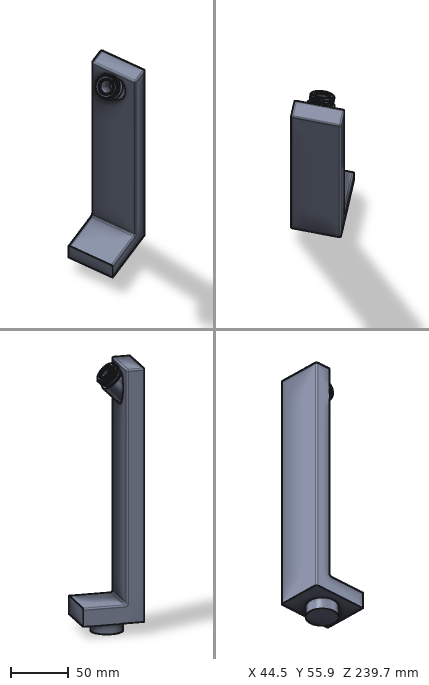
import cadquery as cq
import math

width = 44.45
foot_depth = 55.88
column_height = 228.6
column_depth = 16.7
foot_height = column_depth
edge_radius = 1.65
inner_corner_radius = edge_radius

boss_diameter = 28.58
boss_height = 11.13

spout_angle = 45
spout_axis_drop = 19.4
spout_diameter = 24.13
spout_length = 8.9
thread_diameter = 21.34
neck_length = 2.2
thread_root_diameter = 18.9
thread_pitch = 2.25
thread_count = 3
bore_diameter = 11.5
counterbore_diameter = 14.4
counterbore_depth = 1.5
bore_depth = 24.0

spout_end = spout_length + neck_length + thread_count * thread_pitch
back_y = foot_depth / 2
column_front_y = back_y - column_depth
front_y = -foot_depth / 2


def make_body():
    """L-shaped block with rounded upper edges, inner corner and column edges."""
    outline = [
        (front_y, 0),
        (back_y, 0),
        (back_y, column_height),
        (column_front_y, column_height),
        (column_front_y, foot_height),
        (front_y, foot_height),
    ]
    body = cq.Workplane("YZ").polyline(outline).close().extrude(width / 2, both=True)
    inner_corner = cq.selectors.NearestToPointSelector((0, column_front_y, foot_height))
    body = body.edges(inner_corner).fillet(inner_corner_radius)

    foot_side_middle_y = (front_y + column_front_y) / 2
    column_middle_z = (column_height + foot_height) / 2
    rounded = body.faces(">Z").edges()
    for side in (-1, 1):
        x = side * width / 2
        for y, z in (
            (back_y, column_height / 2),
            (column_front_y, column_middle_z),
            (foot_side_middle_y, foot_height),
        ):
            rounded = rounded.add(body.edges(cq.selectors.NearestToPointSelector((x, y, z))))
    return rounded.fillet(edge_radius)


def make_boss():
    """Round boss centred under the foot."""
    return cq.Workplane("XY").circle(boss_diameter / 2).extrude(-boss_height)


def turn_about_spout_axis(profile):
    """Revolve (radius, distance) points; distance runs outward along the axis from the front face."""
    angle = math.radians(spout_angle)
    half_plane = cq.Plane(
        origin=(0, column_front_y, column_height - spout_axis_drop),
        xDir=(1, 0, 0),
        normal=(0, -math.sin(angle), -math.cos(angle)),
    )
    return cq.Workplane(half_plane).polyline(profile).close().revolve(360, (0, 0), (0, 1))


def make_spout():
    """Plain barrel and ringed neck, turned about the spout axis."""
    buried_length = spout_diameter
    barrel_radius = spout_diameter / 2
    crest_radius = thread_diameter / 2
    root_radius = thread_root_diameter / 2
    thread_start = spout_length + neck_length

    profile = [
        (0, -buried_length),
        (barrel_radius, -buried_length),
        (barrel_radius, spout_length),
        (root_radius, spout_length),
        (root_radius, thread_start),
    ]
    for index in range(thread_count):
        start = thread_start + index * thread_pitch
        profile.append((crest_radius, start + thread_pitch / 2))
        profile.append((root_radius, start + thread_pitch))
    profile.append((0, spout_end))
    spout = turn_about_spout_axis(profile)

    column_middle_y = column_front_y + column_depth / 2
    ahead = cq.Workplane("XY").box(width, foot_depth, 2 * column_height)
    ahead = ahead.translate((0, column_middle_y - foot_depth / 2, column_height))
    return spout.intersect(ahead)


def make_bore():
    """Blind bore into the spout end, with a shallow counterbore at its mouth."""
    bore_radius = bore_diameter / 2
    counterbore_radius = counterbore_diameter / 2
    profile = [
        (0, spout_end - bore_depth),
        (bore_radius, spout_end - bore_depth),
        (bore_radius, spout_end - counterbore_depth),
        (counterbore_radius, spout_end - counterbore_depth),
        (counterbore_radius, spout_end),
        (0, spout_end),
    ]
    return turn_about_spout_axis(profile)


result = make_body().union(make_boss()).union(make_spout()).cut(make_bore())